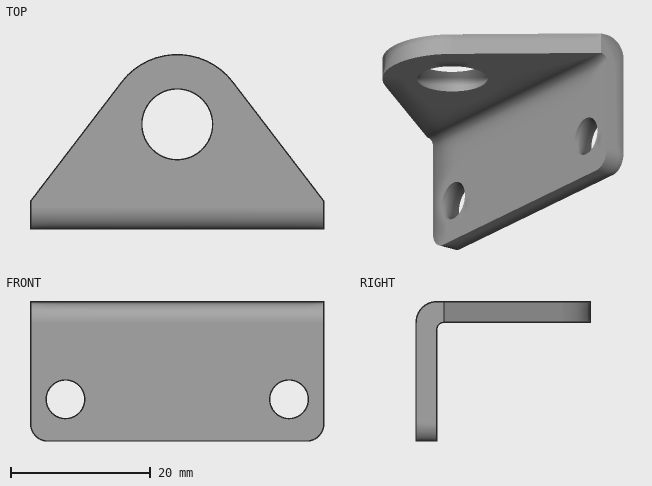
import cadquery as cq
import math

width = 42.0
depth = 25.0
height = 20.0
thickness = 3.0

outer_bend_radius = 3.0
inner_bend_radius = 1.0

nose_radius = 10.0
nose_hole_diameter = 10.1
straight_side_depth = thickness + inner_bend_radius

mount_hole_diameter = 5.5
mount_hole_spacing = 32.0
mount_hole_height = 6.0
lower_corner_radius = 2.5

half_width = width / 2
nose_center_y = depth - nose_radius


def bent_profile():
    """L-shaped sheet section with its bend, extruded over the full width."""
    blank = (
        cq.Workplane("YZ")
        .polyline([
            (0, 0),
            (thickness, 0),
            (thickness, height - thickness),
            (depth, height - thickness),
            (depth, height),
            (0, height),
        ])
        .close()
        .extrude(half_width, both=True)
    )
    outer_corner = cq.selectors.NearestToPointSelector((0, 0, height))
    inner_corner = cq.selectors.NearestToPointSelector((0, thickness, height - thickness))
    blank = blank.edges(outer_corner).fillet(outer_bend_radius)
    return blank.edges(inner_corner).fillet(inner_bend_radius)


def plan_outline():
    """Prism over the plan shape: straight sides, then tapers tangent to the nose."""
    side_drop = nose_center_y - straight_side_depth
    side_distance = math.hypot(half_width, side_drop)
    tangent_angle = math.acos(nose_radius / side_distance) - math.atan2(side_drop, half_width)
    tangent_x = nose_radius * math.cos(tangent_angle)
    tangent_y = nose_center_y + nose_radius * math.sin(tangent_angle)
    return (
        cq.Workplane("XY")
        .moveTo(-half_width, 0)
        .lineTo(half_width, 0)
        .lineTo(half_width, straight_side_depth)
        .lineTo(tangent_x, tangent_y)
        .threePointArc((0, depth), (-tangent_x, tangent_y))
        .lineTo(-half_width, straight_side_depth)
        .close()
        .extrude(height)
    )


def nose_hole():
    """Vertical cutter for the large hole, concentric with the nose."""
    return (
        cq.Workplane("XY")
        .center(0, nose_center_y)
        .circle(nose_hole_diameter / 2)
        .extrude(height)
    )


def mount_holes():
    """Cutters for the two holes through the vertical flange."""
    half_spacing = mount_hole_spacing / 2
    return (
        cq.Workplane("XZ")
        .pushPoints([(-half_spacing, mount_hole_height), (half_spacing, mount_hole_height)])
        .circle(mount_hole_diameter / 2)
        .extrude(-thickness)
    )


bracket = bent_profile().intersect(plan_outline())
bracket = bracket.faces("<Z").edges("|Y").fillet(lower_corner_radius)
result = bracket.cut(nose_hole()).cut(mount_holes())